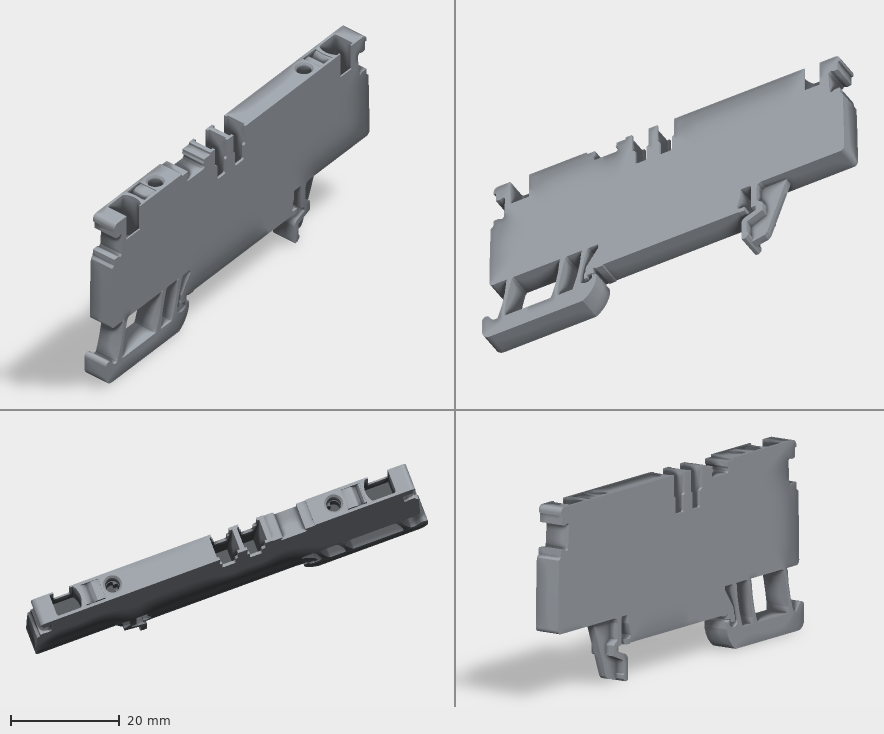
import cadquery as cq
import math


WIDTH = 5.1
HEIGHT = 36.1
BODY_BOTTOM = 12.4
KEEL_BOTTOM = 7.0
FOOT_END = -38.5
MID_Y = 0.8
HALF_LENGTH = 37.75
BODY_CORNER_RADIUS = 0.85
LIP_LENGTH = 36.8
LIP_RADIUS = 1.0

PROBE_OFFSET = 21.7
PROBE_RADIUS = 1.4
PROBE_RIM_RADIUS = 1.8
PROBE_RIM_DEPTH = 0.5
PROBE_DEPTH = 3.1
PROBE_FLOOR_RADIUS = 1.2
PROBE_FLOOR_DEPTH = 6.2
PROBE_KEY_WIDTH = 1.1
PROBE_KEY_OFFSET = 0.4

SIDE_WALL = 0.55
POCKET_SIDE = WIDTH / 2 - SIDE_WALL
BUTTON_START = 23.8
BUTTON_END = 27.6
BUTTON_END_BULGE = 0.2
BUTTON_GAP = 0.2
BUTTON_TOP_DROP = 0.2
RECESS_DEPTH = 7.7
BUTTON_GROOVES = {
    1: [(25.3, 0), (26.3, 0.9), (27.2, 0)],
    -1: [(25.3, 0), (25.9, 0.3), (26.35, 1.1), (26.65, 1.2), (27.2, 0)],
}

FUNNEL_START = 28.65
FUNNEL_END = 33.3
FUNNEL_BULGE = 0.7
FUNNEL_THIN_WALL = 0.3
FUNNEL_WALL_X = WIDTH / 2 - FUNNEL_THIN_WALL
FUNNEL_CORNER_RADIUS = 0.5
FUNNEL_DEPTH = 9.25
SIDE_OPENING_SPAN = {1: (29.3, 32.5), -1: (29.3, FUNNEL_END)}
SIDE_OPENING_DEPTH = 5.4

SLOT_DEPTH = 7.5
SLOT_STEP_DEPTH = 3.9
SLOT_STEP_CHAMFER = 0.4
SLOT_CORNER_RADIUS = 0.4
BRIDGE_DEPTH = 15.4

RIB_THICKNESS = 1.55

FOOT_TOP = 3.8
FOOT_RADIUS = 1.85
STRUT_TOP_Y = -16.1
STRUT_SHIFTS = (0, 4.6, 15.95)


def extrude_profile(sketch_points, thickness=WIDTH):
    """Extrude a closed Y-Z polygon, centred on X = 0."""
    return cq.Workplane("YZ").polyline(sketch_points).close().extrude(thickness / 2, both=True)


def top_plane(drop=0.0):
    return cq.Workplane("XY", origin=(0, 0, HEIGHT - drop))



def place_at_end(shape, side):
    """Move a shape built outwards along +Y from Y = 0 to one end of the housing."""
    if side < 0:
        shape = shape.mirror("XZ")
    return shape.translate((0, MID_Y, 0))


def make_body_half(side):
    """Half of the body, from the middle plane to one end face with its latch notch."""
    latch = [
        (LIP_LENGTH, HEIGHT), (LIP_LENGTH, 34.7), (36.4, 34.7), (36.4, 32.8),
        (35.6, 32.7), (34.8, 33.0), (34.35, 32.5), (34.7, 28.1),
        (35.05, 27.7), (35.7, 28.1), (36.8, 28.1), (36.9, 26.8), (37.45, 26.35),
    ]
    half = (
        cq.Workplane("YZ")
        .polyline([(0, BODY_BOTTOM), (0, HEIGHT)] + latch)
        .threePointArc((37.6, 21.6), (HALF_LENGTH, BODY_BOTTOM + BODY_CORNER_RADIUS))
        .radiusArc((HALF_LENGTH - BODY_CORNER_RADIUS, BODY_BOTTOM), BODY_CORNER_RADIUS)
        .close()
        .extrude(WIDTH / 2, both=True)
    )
    half = half.edges("|X").edges(">Z").edges(">Y").fillet(LIP_RADIUS)
    return place_at_end(half, side)


def make_body():
    return make_body_half(1).union(make_body_half(-1)).union(extrude_profile(keel_profile()))


def keel_profile():
    """Part of the body that rests on the rail, with a lip at each side."""
    rail_lip = [
        (16.5, BODY_BOTTOM), (16.5, 10.7), (15.7, 8.4), (15.9, 8.0), (16.4, 7.8),
        (17.3, 7.8), (17.3, 6.85), (16.1, 6.85), (15.95, KEEL_BOTTOM),
    ]
    spring_stop = [
        (-12.8, KEEL_BOTTOM), (-12.95, 6.8), (-14.3, 6.8), (-14.4, KEEL_BOTTOM),
        (-14.95, KEEL_BOTTOM), (-14.95, 5.9), (-16.2, 5.9), (-16.2, 5.25), (-16.8, 5.25),
        (-16.8, 6.4), (-16.6, 6.8), (-16.4, 7.9), (-13.8, 11.6), (-13.8, BODY_BOTTOM),
    ]
    return rail_lip + spring_stop



def make_clip_leg():
    outer_side = [
        (20.8, BODY_BOTTOM), (20.1, 12.1), (19.9, 11.3), (19.9, 8.25), (21.1, 7.3),
        (21.1, 5.3), (17.8, 3.9), (17.8, 1.5), (18.0, 1.2), (18.0, 0.55), (17.5, 0),
        (16.8, 0), (16.65, 0.2), (16.65, 3.85),
    ]
    leg = (
        cq.Workplane("YZ")
        .polyline(outer_side)
        .threePointArc((16.95, 4.8), (17.7, 5.25))
        .lineTo(19.65, 5.9)
        .lineTo(19.65, KEEL_BOTTOM)
        .lineTo(18.7, KEEL_BOTTOM)
        .lineTo(18.7, 12.1)
        .lineTo(18.4, BODY_BOTTOM)
        .close()
        .extrude(WIDTH / 2, both=True)
    )
    rib = [
        (25.3, BODY_BOTTOM), (21.1, 1.3), (20.6, 0.8), (17.8, 0.2), (17.8, 3.9),
        (21.1, 5.3), (21.1, 7.3), (19.9, 8.25), (19.9, BODY_BOTTOM),
    ]
    return leg.union(extrude_profile(rib, RIB_THICKNESS))



def make_strut(shift):
    """Leaning strut between the body and the foot bar."""
    strut = (
        cq.Workplane("YZ")
        .moveTo(0.2, BODY_BOTTOM)
        .lineTo(-0.15, 12.0)
        .threePointArc((-1.0, 8.6), (-1.7, 5.0))
        .lineTo(-1.7, FOOT_TOP)
        .lineTo(-3.2, FOOT_TOP)
        .lineTo(-3.0, 4.2)
        .threePointArc((-1.9, 7.85), (-1.3, 12.0))
        .lineTo(-1.1, BODY_BOTTOM)
        .close()
        .extrude(WIDTH / 2, both=True)
    )
    return strut.translate((0, STRUT_TOP_Y - shift, 0))


def make_foot():
    outline = (
        cq.Workplane("YZ")
        .moveTo(-17.1, 0)
        .threePointArc((-15.2, 1.85), (-14.25, 4.15))
        .lineTo(-14.25, 5.4)
        .lineTo(-14.8, 5.4)
        .lineTo(-15.1, 5.8)
        .lineTo(-15.2, 4.85)
        .threePointArc((-16.4, 4.15), (-17.65, 4.85))
        .lineTo(-17.8, 5.4)
        .lineTo(-18.5, FOOT_TOP)
        .lineTo(-35.5, FOOT_TOP)
        .threePointArc((-36.0, FOOT_TOP), (-36.45, 4.1))
        .lineTo(-37.05, 4.9)
        .threePointArc((-37.7, 5.3), (FOOT_END, 4.5))
        .lineTo(FOOT_END, FOOT_RADIUS)
        .radiusArc((FOOT_END + FOOT_RADIUS, 0), -FOOT_RADIUS)
        .close()
    )
    foot = outline.extrude(WIDTH / 2, both=True)
    for shift in STRUT_SHIFTS:
        foot = foot.union(make_strut(shift))
    return foot



def bridge_slot(left_y, right_y, left_step, right_step):
    """Stepped slot across the full thickness, from left_y (larger Y) to right_y."""
    floor_z = HEIGHT - SLOT_DEPTH
    step_z = HEIGHT - SLOT_STEP_DEPTH
    slot = extrude_profile([
        (left_y, HEIGHT), (left_y, step_z), (left_y - left_step, step_z - SLOT_STEP_CHAMFER),
        (left_y - left_step, floor_z), (right_y + right_step, floor_z),
        (right_y + right_step, step_z - SLOT_STEP_CHAMFER), (right_y, step_z), (right_y, HEIGHT),
    ])
    return slot.edges("|X").edges("<Z").fillet(SLOT_CORNER_RADIUS)


def bridge_pocket(left_y, right_y, floor_left_y, floor_right_y):
    """Tapered pocket inside a bridge slot, closed off in X by the side walls."""
    floor_z = HEIGHT - BRIDGE_DEPTH
    return extrude_profile(
        [(left_y, HEIGHT), (floor_left_y, floor_z), (floor_right_y, floor_z), (right_y, HEIGHT)],
        2 * POCKET_SIDE,
    )


def marker_groove():
    return extrude_profile([
        (-8.0, HEIGHT), (-8.0, 35.7), (-9.85, 35.7), (-9.85, 35.1), (-10.1, 34.75),
        (-9.6, 34.3), (-9.6, 33.8), (-9.9, 33.5), (-14.55, 33.5), (-14.8, 33.8),
        (-14.8, 34.35), (-14.5, 34.75), (-14.5, 35.7), (-16.3, 35.7), (-16.3, HEIGHT),
    ])


def cut_middle(body):
    slots = [
        bridge_slot(left_y=2.3, right_y=-1.2, left_step=0.5, right_step=0.5),
        bridge_slot(left_y=-3.1, right_y=-6.6, left_step=0.5, right_step=0.7),
    ]
    pockets = [
        bridge_pocket(left_y=2.7, right_y=-1.8, floor_left_y=1.6, floor_right_y=-0.8),
        bridge_pocket(left_y=-2.7, right_y=-7.1, floor_left_y=-3.6, floor_right_y=-5.9),
    ]
    for cutter in slots + pockets:
        body = body.cut(cutter)
    return body.cut(marker_groove())



def probe_hole():
    """Test-probe hole with a conical rim and a keyed floor."""
    bore = top_plane().center(0, PROBE_OFFSET).circle(PROBE_RADIUS).extrude(-PROBE_DEPTH)
    rim = (
        top_plane()
        .center(0, PROBE_OFFSET)
        .circle(PROBE_RIM_RADIUS)
        .workplane(offset=-PROBE_RIM_DEPTH)
        .circle(PROBE_RADIUS)
        .loft()
    )
    floor_bore = top_plane().center(0, PROBE_OFFSET).circle(PROBE_FLOOR_RADIUS).extrude(-PROBE_FLOOR_DEPTH)
    key = top_plane().center(0, PROBE_OFFSET).rect(PROBE_KEY_WIDTH, WIDTH).extrude(-PROBE_FLOOR_DEPTH)
    wide_half = (
        top_plane()
        .center(0, PROBE_OFFSET - PROBE_KEY_OFFSET + WIDTH / 2)
        .rect(WIDTH, WIDTH)
        .extrude(-PROBE_FLOOR_DEPTH)
    )
    return bore.union(rim).union(floor_bore.intersect(key.union(wide_half)))


def button_recess():
    """Recess with a bowed outer end."""
    return (
        top_plane()
        .moveTo(-POCKET_SIDE, BUTTON_START)
        .lineTo(POCKET_SIDE, BUTTON_START)
        .lineTo(POCKET_SIDE, BUTTON_END)
        .threePointArc((0, BUTTON_END - BUTTON_END_BULGE), (-POCKET_SIDE, BUTTON_END))
        .close()
        .extrude(-RECESS_DEPTH)
    )


def make_button(side):
    """Push button filling its recess but for a side gap, with a screwdriver groove across its top."""
    top_z = HEIGHT - BUTTON_TOP_DROP
    trim = top_plane(BUTTON_TOP_DROP).center(BUTTON_GAP, BUTTON_START)
    trim = trim.rect(2 * POCKET_SIDE, WIDTH * 2).extrude(-RECESS_DEPTH)
    button = button_recess().intersect(trim)
    groove = extrude_profile([(distance, top_z - depth) for distance, depth in BUTTON_GROOVES[side]])
    return place_at_end(button.cut(groove), side)


def wire_funnel(side):
    """Wire entry: round-backed pocket, open through the +X wall near the top."""
    corner = FUNNEL_CORNER_RADIUS
    corner_mid = corner * (1 - math.sqrt(0.5))
    pocket = (
        top_plane()
        .moveTo(FUNNEL_WALL_X, FUNNEL_END)
        .lineTo(corner - POCKET_SIDE, FUNNEL_END)
        .threePointArc(
            (corner_mid - POCKET_SIDE, FUNNEL_END - corner_mid),
            (-POCKET_SIDE, FUNNEL_END - corner),
        )
        .lineTo(-POCKET_SIDE, FUNNEL_START)
        .threePointArc((0, FUNNEL_START - FUNNEL_BULGE), (FUNNEL_WALL_X, FUNNEL_START))
        .close()
        .extrude(-FUNNEL_DEPTH)
    )
    opening_start, opening_end = SIDE_OPENING_SPAN[side]
    side_opening = (
        top_plane()
        .center(WIDTH / 2, (opening_start + opening_end) / 2)
        .rect(WIDTH, opening_end - opening_start)
        .extrude(-SIDE_OPENING_DEPTH)
    )
    return pocket.union(side_opening)


def cut_terminal_end(body, side):
    for cutter in (probe_hole(), button_recess(), wire_funnel(side)):
        body = body.cut(place_at_end(cutter, side))
    return body



def make_housing():
    housing = make_body().union(make_clip_leg()).union(make_foot())
    housing = cut_middle(housing)
    for side in (1, -1):
        housing = cut_terminal_end(housing, side)
    return housing


housing = make_housing()
buttons = [make_button(side).val() for side in (1, -1)]

result = cq.Compound.makeCompound([housing.val(), *buttons])